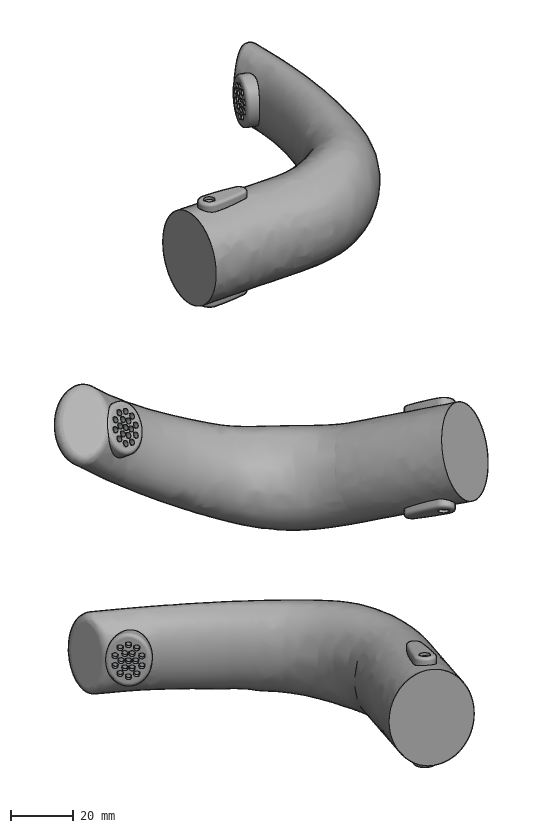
import math

import cadquery as cq


base_height = 40.0
base_thickness = 28.5
base_width = 32.8

bend_angle = math.radians(68.0)
bend_radius = 42.5
spout_radius = 148.0
straight_length = 16.0
bend_length = bend_radius * bend_angle
curved_length = bend_length + spout_radius * (math.pi / 2 - bend_angle)
neck_length = curved_length + straight_length

tip_thickness = 16.4
tip_width = 27.6
bend_swell = 2.2
section_count = 24

tip_x = -92.95
tip_y = 93.2
tip_slant = math.radians(55.9)
tip_fillet = 2.8
cutter_size = 100.0

outlet_x = -78.5
outlet_y = 79.7
outlet_tilt = math.radians(17.9)
outlet_half_length = 7.6
outlet_half_width = 9.0
outlet_sink = 6.0
outlet_fillet = 1.2
spray_hole_diameter = 2.0
spray_hole_depth = 2.0
spray_aspect = 0.83
spray_rings = [(1, 0.0, 0.0), (6, 2.8, 0.5), (10, 5.45, 0.0)]

button_top_z = 37.5 / 2
button_floor_z = 12.0
button_low_y = 8.0
button_low_radius = 3.75
button_high_y = 19.9
button_high_radius = 2.65
button_fillet = 1.0
lamp_diameter = 3.62
lamp_depth = 1.0


def centreline(distance):
    """Point (x, y) and heading, turned from +Y toward -X, at a distance along the neck."""
    on_bend = min(distance, bend_length)
    on_spout = min(max(distance - bend_length, 0), curved_length - bend_length)
    on_straight = max(distance - curved_length, 0)
    bend_turn = on_bend / bend_radius
    heading = bend_turn + on_spout / spout_radius
    x = bend_radius * (math.cos(bend_turn) - 1)
    x += spout_radius * (math.cos(heading) - math.cos(bend_turn))
    x -= on_straight
    y = base_height + bend_radius * math.sin(bend_turn)
    y += spout_radius * (math.sin(heading) - math.sin(bend_turn))
    return x, y, heading


def neck_section(distance):
    """Elliptical wire square to the centreline."""
    x, y, heading = centreline(distance)
    along = min(distance / curved_length, 1)
    blend = (1 - math.cos(math.pi * along)) / 2
    thickness = base_thickness + (tip_thickness - base_thickness) * blend
    width = base_width + (tip_width - base_width) * blend
    if distance < bend_length:
        width += bend_swell * math.sin(math.pi * distance / bend_length) ** 2
    plane = cq.Plane(
        origin=(x, y, 0),
        xDir=(0, 0, 1),
        normal=(-math.sin(heading), math.cos(heading), 0),
    )
    return cq.Workplane(plane).ellipse(width / 2, thickness / 2).wires().val()


def make_neck():
    step = neck_length / (section_count - 1)
    sections = [neck_section(step * index) for index in range(section_count)]
    neck = cq.Workplane(cq.Solid.makeLoft(sections))
    cut_plane = cq.Plane(
        origin=(tip_x, tip_y, 0),
        xDir=(0, 0, 1),
        normal=(-math.sin(tip_slant), -math.cos(tip_slant), 0),
    )
    cutter = cq.Workplane(cut_plane).rect(cutter_size, cutter_size).extrude(cutter_size)
    tip_face = cq.DirectionMinMaxSelector(cut_plane.zDir, True)
    return neck.cut(cutter).faces(tip_face).edges().fillet(tip_fillet)


def make_base():
    return cq.Workplane("XZ").ellipse(base_thickness / 2, base_width / 2).extrude(-base_height)


def outlet_workplane():
    """Plane of the outlet face: local X along Z, local Z out of the spout."""
    plane = cq.Plane(
        origin=(outlet_x, outlet_y, 0),
        xDir=(0, 0, 1),
        normal=(-math.sin(outlet_tilt), -math.cos(outlet_tilt), 0),
    )
    return cq.Workplane(plane)


def make_outlet():
    boss = outlet_workplane().ellipse(outlet_half_width, outlet_half_length).extrude(-outlet_sink)
    outer_face = cq.DirectionMinMaxSelector(outlet_workplane().plane.zDir, True)
    return boss.faces(outer_face).edges().fillet(outlet_fillet)


def make_spray_holes():
    points = []
    for count, half_width, turned_steps in spray_rings:
        for index in range(count):
            angle = 2 * math.pi * (index + turned_steps) / count
            points.append((half_width * math.cos(angle), half_width * spray_aspect * math.sin(angle)))
    return outlet_workplane().pushPoints(points).circle(spray_hole_diameter / 2).extrude(-spray_hole_depth)


def make_button():
    """Teardrop button on the +Z side, with a round lamp recess in its wide end."""
    rise = button_high_y - button_low_y
    radius_drop = button_low_radius - button_high_radius
    side_radius = (button_low_radius**2 + rise**2 - button_high_radius**2) / (2 * radius_drop)
    side_turn = math.asin(rise / (side_radius - button_high_radius))
    high_x = button_high_radius * math.cos(side_turn)
    high_y = button_high_y + button_high_radius * math.sin(side_turn)
    side_x = button_low_radius - side_radius * (1 - math.cos(side_turn / 2))
    side_y = button_low_y + side_radius * math.sin(side_turn / 2)
    button = (
        cq.Workplane("XY", origin=(0, 0, button_floor_z))
        .moveTo(-button_low_radius, button_low_y)
        .threePointArc((0, button_low_y - button_low_radius), (button_low_radius, button_low_y))
        .threePointArc((side_x, side_y), (high_x, high_y))
        .threePointArc((0, button_high_y + button_high_radius), (-high_x, high_y))
        .threePointArc((-side_x, side_y), (-button_low_radius, button_low_y))
        .close()
        .extrude(button_top_z - button_floor_z)
        .faces(">Z")
        .edges()
        .fillet(button_fillet)
    )
    lamp = (
        cq.Workplane("XY", origin=(0, button_low_y, button_top_z))
        .circle(lamp_diameter / 2)
        .extrude(-lamp_depth)
    )
    return button.cut(lamp)


button = make_button()
body = make_base().union(make_neck()).union(make_outlet()).cut(make_spray_holes())
result = body.union(button).union(button.mirror("XY"))